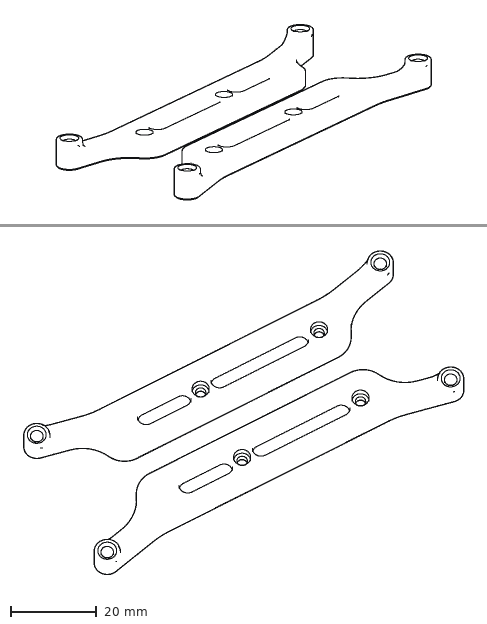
import cadquery as cq
import math

OVERALL_X = 40.1
OVERALL_Y = 97.5
OVERALL_Z = 7.0
PLATE_THICKNESS = 4.0
BOTTOM_CHAMFER = 0.4
TOP_FILLET = 0.4

BOSS_RADIUS = 6.1 / 2
BOSS_X = OVERALL_X / 2 - BOSS_RADIUS
BOSS_Y = OVERALL_Y / 2 - BOSS_RADIUS
BOSS_HOLE_DIAMETER = 2.9
COUNTERSINK_DIAMETER = 4.4
COUNTERSINK_DEPTH = 0.8
BOSS_ROOT_RADIUS = 2.0
ROOT_REACH = BOSS_RADIUS + BOSS_ROOT_RADIUS
RELIEF_TOP = OVERALL_Z + 1
RELIEF_RADIUS = 58.5

OUTER_EDGE_X = BOSS_X
INNER_EDGE_X = 3.0
ARM_TILT = 12.4
ARM_ANGLE = math.radians(ARM_TILT)
OUTER_BEND_RADIUS = 20.0
NECK_RADIUS = 10.0
SHOULDER_RADIUS = 6.0
SHOULDER_Y = 26.7

MIDDLE_X = (OUTER_EDGE_X + INNER_EDGE_X) / 2
SCREW_HOLE_DIAMETER = 2.4
COUNTERBORE_DIAMETER = 4.0
COUNTERBORE_DEPTH = 2.0
SCREW_HOLE_YS = (5.9, -25.5)
SLOT_WIDTH = 4.0
SLOT_DEPTH = 3.0
SLOT_SPANS = ((8.8, 22.4), (-22.4, 2.9))


def on_circle(center, radius, angle):
    """Point at an angle on a circle."""
    return (center[0] + radius * math.cos(angle), center[1] + radius * math.sin(angle))


def add_arc(path, center, radius, start, end):
    """Continue the path with a line to the start of an arc, then the arc itself."""
    middle = on_circle(center, radius, (start + end) / 2)
    path = path.lineTo(*on_circle(center, radius, start))
    return path.threePointArc(middle, on_circle(center, radius, end))


def half_outline():
    """Closed outline of the +Y half of the -X rail."""
    cos_arm = math.cos(ARM_ANGLE)
    sin_arm = math.sin(ARM_ANGLE)

    bend_x = -OUTER_EDGE_X - OUTER_BEND_RADIUS
    bend_drop = (BOSS_RADIUS + OUTER_BEND_RADIUS - (-BOSS_X - bend_x) * cos_arm) / sin_arm
    bend = (bend_x, BOSS_Y - bend_drop)

    shoulder = (-INNER_EDGE_X - SHOULDER_RADIUS, SHOULDER_Y)

    shoulder_dx = shoulder[0] + BOSS_X
    shoulder_dy = shoulder[1] - BOSS_Y
    shoulder_across = shoulder_dx * cos_arm + shoulder_dy * sin_arm
    shoulder_along = shoulder_dx * sin_arm - shoulder_dy * cos_arm
    neck_across = BOSS_RADIUS + NECK_RADIUS
    center_distance = NECK_RADIUS + SHOULDER_RADIUS
    neck_along = shoulder_along - math.sqrt(center_distance**2 - (neck_across - shoulder_across) ** 2)
    neck = (
        -BOSS_X + neck_across * cos_arm + neck_along * sin_arm,
        BOSS_Y + neck_across * sin_arm - neck_along * cos_arm,
    )
    meeting_angle = math.atan2(neck[1] - shoulder[1], neck[0] - shoulder[0])

    path = cq.Workplane("XY").moveTo(-OUTER_EDGE_X, 0)
    path = add_arc(path, bend, OUTER_BEND_RADIUS, 0, ARM_ANGLE)
    path = add_arc(path, (-BOSS_X, BOSS_Y), BOSS_RADIUS, math.pi + ARM_ANGLE, ARM_ANGLE)
    path = add_arc(path, neck, NECK_RADIUS, math.pi + ARM_ANGLE, math.pi + meeting_angle)
    path = path.threePointArc(
        on_circle(shoulder, SHOULDER_RADIUS, meeting_angle / 2),
        on_circle(shoulder, SHOULDER_RADIUS, 0),
    )
    return path.lineTo(-INNER_EDGE_X, 0).close()


def arm_relief():
    """Space above the plate on the arm side of the +Y boss, rounded at the root of the boss."""
    root_top = PLATE_THICKNESS + BOSS_ROOT_RADIUS
    root_middle = on_circle((ROOT_REACH, root_top), BOSS_ROOT_RADIUS, math.radians(225))
    half_turn = (
        cq.Workplane("XZ")
        .moveTo(ROOT_REACH, PLATE_THICKNESS)
        .threePointArc(root_middle, (BOSS_RADIUS, root_top))
        .lineTo(BOSS_RADIUS, RELIEF_TOP)
        .lineTo(RELIEF_RADIUS, RELIEF_TOP)
        .lineTo(RELIEF_RADIUS, PLATE_THICKNESS)
        .close()
        .revolve(180, (0, 0), (0, 1))
    )
    return half_turn.rotate((0, 0, 0), (0, 0, 1), ARM_TILT - 180).translate((-BOSS_X, BOSS_Y, 0))


def boss_hole_cutter():
    """Through hole of the +Y boss with a conical countersink at the top."""
    hole_radius = BOSS_HOLE_DIAMETER / 2
    sink_radius = COUNTERSINK_DIAMETER / 2
    return (
        cq.Workplane("XZ")
        .lineTo(hole_radius, 0)
        .lineTo(hole_radius, OVERALL_Z - COUNTERSINK_DEPTH)
        .lineTo(sink_radius, OVERALL_Z)
        .lineTo(0, OVERALL_Z)
        .close()
        .revolve(360, (0, 0), (0, 1))
        .translate((-BOSS_X, BOSS_Y, 0))
    )


def cut_slot(rail, low_y, high_y):
    """Cut a blind slot into the plate top and round its rim."""
    length = high_y - low_y
    center = (-MIDDLE_X, (low_y + high_y) / 2, PLATE_THICKNESS)
    slot = cq.Workplane("XY", origin=center).slot2D(length, SLOT_WIDTH, 90).extrude(-SLOT_DEPTH)
    rim_zone = cq.selectors.BoxSelector(
        (-MIDDLE_X - SLOT_WIDTH, low_y - TOP_FILLET, PLATE_THICKNESS - TOP_FILLET),
        (-MIDDLE_X + SLOT_WIDTH, high_y + TOP_FILLET, PLATE_THICKNESS + TOP_FILLET),
    )
    return rail.cut(slot).edges(rim_zone).fillet(TOP_FILLET)


def screw_hole_cutter(y):
    """Through hole with a counterbore in the plate top."""
    hole = cq.Workplane("XY", origin=(-MIDDLE_X, y, 0)).circle(SCREW_HOLE_DIAMETER / 2).extrude(PLATE_THICKNESS)
    top = cq.Workplane("XY", origin=(-MIDDLE_X, y, PLATE_THICKNESS))
    return hole.union(top.circle(COUNTERBORE_DIAMETER / 2).extrude(-COUNTERBORE_DEPTH))


def make_rail():
    """The -X rail."""
    half = half_outline().extrude(OVERALL_Z).cut(arm_relief())
    half = half.edges("|Y").edges(">Z").fillet(TOP_FILLET)
    rail = half.union(half.mirror("XZ"))
    rail = rail.faces(">Z").edges().fillet(TOP_FILLET)
    rail = rail.faces("<Z").chamfer(BOTTOM_CHAMFER)

    boss_hole = boss_hole_cutter()
    rail = rail.cut(boss_hole).cut(boss_hole.mirror("XZ"))

    for low_y, high_y in SLOT_SPANS:
        rail = cut_slot(rail, low_y, high_y)

    for y in SCREW_HOLE_YS:
        rail = rail.cut(screw_hole_cutter(y))
    return rail


left_rail = make_rail()
right_rail = left_rail.mirror("YZ")
result = cq.Compound.makeCompound([left_rail.val(), right_rail.val()])